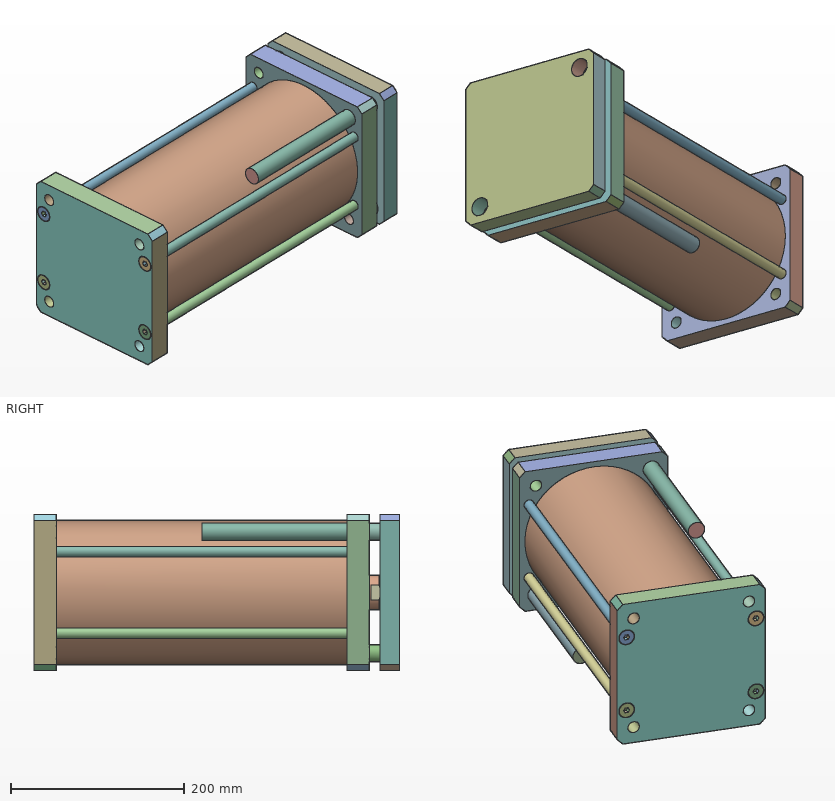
import cadquery as cq
import math

plate_side = 180.0
overall_length = 422.0
corner_circle_diameter = 245.0

end_cap_thickness = 26.0
head_thickness = 26.0
tool_plate_thickness = 23.0
tool_plate_gap = 12.0

tube_diameter = 167.0
tie_rod_diameter = 12.0
tie_rod_x = 78.5
tie_rod_z = 47.0

screw_head_diameter = 18.0
counterbore_diameter = 19.0
counterbore_depth = 12.0
hex_across_flats = 6.0
hex_depth = 6.0

corner_offset = 70.0
mounting_hole_diameter = 13.84
tool_plate_hole_diameter = 22.0
guide_rod_diameter = 20.0
guide_rod_reach = 167.0

piston_rod_diameter = 40.0
wrench_flat_width = 36.0
wrench_flat_length = 10.0
piston_rod_chamfer = 1.0

cap_front = -overall_length / 2
cap_back = cap_front + end_cap_thickness
tool_plate_back = overall_length / 2
tool_plate_front = tool_plate_back - tool_plate_thickness
head_back = tool_plate_front - tool_plate_gap
head_front = head_back - head_thickness

tie_rod_centers = [(i * tie_rod_x, k * tie_rod_z) for i in (-1, 1) for k in (-1, 1)]
corner_centers = [(i * corner_offset, k * corner_offset) for i in (-1, 1) for k in (-1, 1)]
guide_rod_centers = [(x, z) for x, z in corner_centers if x == z]
free_corner_centers = [(x, z) for x, z in corner_centers if x != z]


def section_at(y):
    """Workplane at station y, facing +Y, with local coordinates (-X, Z)."""
    return cq.Workplane("XZ", origin=(0, y, 0)).transformed(rotate=(0, 180, 0))


def rod(center, diameter, start, end):
    """Round bar parallel to Y around the point (x, z)."""
    x, z = center
    return section_at(start).center(-x, z).circle(diameter / 2).extrude(end - start)


def plate(start, thickness):
    """Square plate whose corners are turned down to a large circle."""
    block = section_at(start).rect(plate_side, plate_side).extrude(thickness)
    return block.intersect(rod((0, 0), corner_circle_diameter, start, start + thickness))


def piston_rod():
    """Piston rod end between the head and the tool plate, with wrench flats."""
    bar = rod((0, 0), piston_rod_diameter, head_back, tool_plate_front)
    bar = bar.faces(">Y").chamfer(piston_rod_chamfer)
    flat_depth = (piston_rod_diameter - wrench_flat_width) / 2
    for side in (-1, 1):
        cutter = cq.Workplane("XY").box(flat_depth, wrench_flat_length, piston_rod_diameter)
        flat_x = side * (wrench_flat_width + flat_depth) / 2
        flat_y = tool_plate_front - wrench_flat_length / 2
        bar = bar.cut(cutter.translate((flat_x, flat_y, 0)))
    return bar


def screw_recess(center):
    """Ring gap around a screw head together with its hexagon socket."""
    bore = rod(center, counterbore_diameter, cap_front, cap_front + counterbore_depth)
    head = rod(center, screw_head_diameter, cap_front, cap_front + counterbore_depth)
    x, z = center
    hex_corner_diameter = hex_across_flats / math.cos(math.pi / 6)
    socket = section_at(cap_front).center(-x, z).polygon(6, hex_corner_diameter).extrude(hex_depth)
    return bore.cut(head).union(socket)


def cylinder_body():
    """End cap, tube, head and tie rods."""
    body = plate(cap_front, end_cap_thickness)
    body = body.union(plate(head_front, head_thickness))
    body = body.union(rod((0, 0), tube_diameter, cap_back, head_front))
    for center in tie_rod_centers:
        body = body.union(rod(center, tie_rod_diameter, cap_back, head_front))
    for center in corner_centers:
        body = body.cut(rod(center, mounting_hole_diameter, cap_front, cap_back))
    for center in free_corner_centers:
        body = body.cut(rod(center, mounting_hole_diameter, head_front, head_back))
    for center in tie_rod_centers:
        body = body.cut(screw_recess(center))
    return body


def tool_plate():
    """Moving plate carried by the piston rod and the guide rods."""
    moving_plate = plate(tool_plate_front, tool_plate_thickness)
    for center in free_corner_centers:
        hole = rod(center, tool_plate_hole_diameter, tool_plate_front, tool_plate_back)
        moving_plate = moving_plate.cut(hole)
    return moving_plate


def guide_rod(center):
    """Guide rod from beside the tube, through the head, to the tool plate."""
    return rod(center, guide_rod_diameter, head_front - guide_rod_reach, tool_plate_front)


result = cylinder_body().union(tool_plate()).union(piston_rod())
for rod_center in guide_rod_centers:
    result = result.union(guide_rod(rod_center))